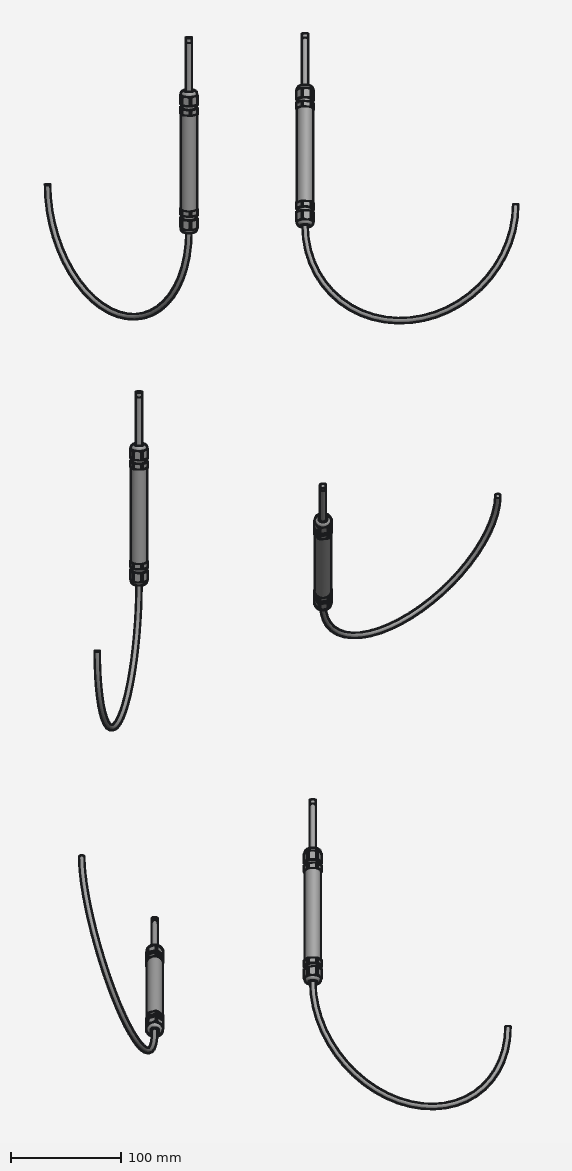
import cadquery as cq

total_height = 285.0

cable_diameter = 5.0
loop_radius = 100.0
loop_center_z = loop_radius + cable_diameter / 2

tube_diameter = 15.0
tube_length = 90.0

hex_across_flats = tube_diameter
hex_corner_diameter = 16.5
nut_length = 5.0
neck_diameter = 12.0
neck_length = 3.7
cap_hex_length = 8.8
corner_chamfer_height = 0.9
crown_height = 4.0
mouth_diameter = 8.0
mouth_depth = 0.9
cap_bottom_z = nut_length + neck_length
crown_bottom_z = cap_bottom_z + cap_hex_length
gland_length = crown_bottom_z + crown_height
crown_fillet = (hex_across_flats - mouth_diameter) / 2

probe_diameter = 6.0
tip_bore_diameter = 5.5
tip_core_diameter = 5.0
tip_depth = 4.3

lower_gland_end_z = 102.0
tube_bottom_z = lower_gland_end_z + gland_length
tube_top_z = tube_bottom_z + tube_length


def cylinder(diameter, bottom_z, top_z):
    return cq.Workplane("XY").workplane(offset=bottom_z).circle(diameter / 2).extrude(top_z - bottom_z)


def hexagon(bottom_z, top_z):
    """Hexagonal prism with flats facing +X and -X."""
    sketch = cq.Workplane("XY").workplane(offset=bottom_z).polygon(6, hex_across_flats, circumscribed=True)
    return sketch.extrude(top_z - bottom_z)


def make_nut():
    return hexagon(0, nut_length).intersect(cylinder(hex_corner_diameter, 0, nut_length))


def make_cap():
    """Hexagonal cap with turned corners, chamfered under a rounded crown."""
    corner_chamfer_width = (hex_corner_diameter - hex_across_flats) / 2
    turned_blank = (
        cylinder(hex_corner_diameter, cap_bottom_z, crown_bottom_z)
        .faces(">Z")
        .chamfer(corner_chamfer_height, corner_chamfer_width)
    )
    crown = cylinder(hex_across_flats, crown_bottom_z, gland_length).faces(">Z").edges().fillet(crown_fillet)
    return hexagon(cap_bottom_z, crown_bottom_z).intersect(turned_blank).union(crown)


def make_gland(bore_diameter):
    """Gland standing on Z = 0 with its crown up, bored through for a rod or cable."""
    neck = cylinder(neck_diameter, nut_length, cap_bottom_z)
    bore = cylinder(bore_diameter, 0, gland_length)
    mouth = cylinder(mouth_diameter, gland_length - mouth_depth, gland_length)
    return make_nut().union(neck).union(make_cap()).cut(bore).cut(mouth)


def make_probe():
    rod = cylinder(probe_diameter, tube_top_z, total_height)
    tip_floor_z = total_height - tip_depth
    tip_bore = cylinder(tip_bore_diameter, tip_floor_z, total_height)
    tip_core = cylinder(tip_core_diameter, tip_floor_z, total_height)
    return rod.cut(tip_bore.cut(tip_core))


def make_cable():
    """Half loop plus the straight end that runs up through the lower gland."""
    loop = (
        cq.Workplane("XY")
        .workplane(offset=loop_center_z)
        .circle(cable_diameter / 2)
        .revolve(180, (-loop_radius, 0, 0), (-loop_radius, 1, 0))
    )
    return loop.union(cylinder(cable_diameter, loop_center_z, tube_bottom_z))


def make_glands():
    """Upper gland around the probe and lower gland, upside down, around the cable."""
    placed = []
    for bore_diameter, seat_z, turn in (
        (probe_diameter, tube_top_z, 0),
        (cable_diameter, tube_bottom_z, 180),
    ):
        gland = make_gland(bore_diameter).rotate((0, 0, 0), (1, 0, 0), turn)
        placed.append(gland.translate((0, 0, seat_z)).val())
    return placed


tube = cylinder(tube_diameter, tube_bottom_z, tube_top_z)
glands = make_glands()
probe = make_probe()
cable = make_cable()

result = cq.Compound.makeCompound([tube.val(), *glands, probe.val(), cable.val()])